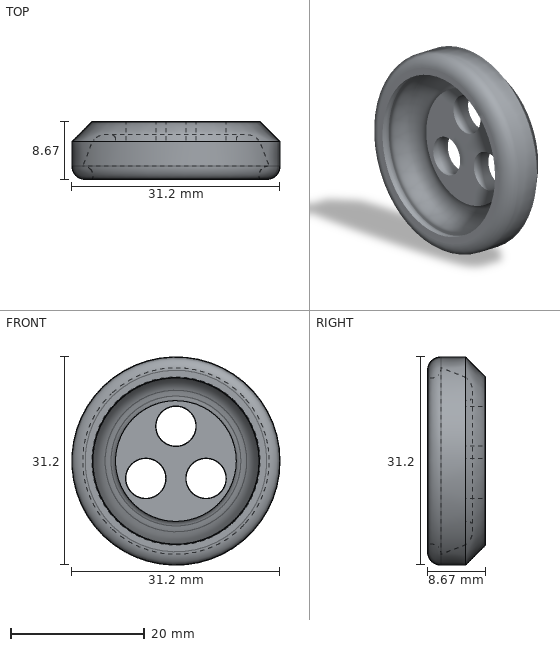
import cadquery as cq
import math

outer_radius = 15.6
thickness = 8.67
rim_round = 2.0
back_chamfer = 3.0

floor_depth = 6.7
floor_radius = 10.6
floor_round = 2.28
wall_draft = 21.0

mouth_radius = 12.5
lip_radius = 12.45
lip_crest_depth = 0.6
lip_round = 1.4

pad_radius = 9.05
pad_height = 1.0
pad_foot_round = 0.7

hole_count = 3
hole_radius = 3.0
hole_circle_radius = 5.2
first_hole_angle = 90.0


def arc_point(center, radius, angle):
    """Point on an arc, given its center, radius and direction in degrees."""
    turn = math.radians(angle)
    return (center[0] + radius * math.cos(turn), center[1] + radius * math.sin(turn))


def make_body():
    """Revolve the half section (radius, depth from the front face) about the Y axis."""
    pad_face = floor_depth - pad_height
    rim_center = (outer_radius - rim_round, rim_round)
    foot_center = (pad_radius + pad_foot_round, floor_depth - pad_foot_round)
    floor_center = (floor_radius, floor_depth - floor_round)
    lip_center = (lip_radius + lip_round, lip_crest_depth)

    wall_start = arc_point(floor_center, floor_round, wall_draft)
    lip_back = lip_crest_depth + lip_round
    wall_end_radius = wall_start[0] + (wall_start[1] - lip_back) * math.tan(math.radians(wall_draft))

    section = (
        cq.Workplane("XY")
        .moveTo(0, pad_face)
        .lineTo(pad_radius, pad_face)
        .lineTo(pad_radius, foot_center[1])
        .threePointArc(arc_point(foot_center, pad_foot_round, 135), (foot_center[0], floor_depth))
        .lineTo(floor_radius, floor_depth)
        .threePointArc(arc_point(floor_center, floor_round, (90 + wall_draft) / 2), wall_start)
        .lineTo(wall_end_radius, lip_back)
        .lineTo(lip_center[0], lip_back)
        .threePointArc(arc_point(lip_center, lip_round, 135), (lip_radius, lip_crest_depth))
        .lineTo(mouth_radius, 0)
        .lineTo(rim_center[0], 0)
        .threePointArc(arc_point(rim_center, rim_round, -45), (outer_radius, rim_round))
        .lineTo(outer_radius, thickness - back_chamfer)
        .lineTo(outer_radius - back_chamfer, thickness)
        .lineTo(0, thickness)
        .close()
    )
    return section.revolve(360, (0, 0, 0), (0, 1, 0))


def make_holes():
    """Round holes evenly spaced about the Y axis, cut through the full thickness."""
    return (
        cq.Workplane("XZ")
        .polarArray(hole_circle_radius, first_hole_angle, 360, hole_count)
        .circle(hole_radius)
        .extrude(-thickness)
    )


result = make_body().cut(make_holes())